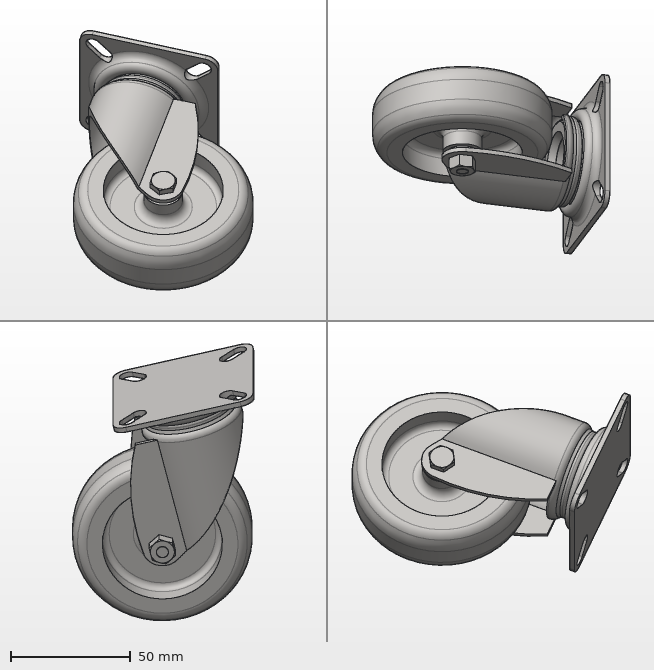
import cadquery as cq
import math


total_reach = 100.0
offset = 24.0

plate_size = 60.0
plate_thickness = 2.2
plate_corner = 5.5
slot_width = 6.5
slot_inner, slot_outer = 19.0, 24.0

dish_radius = 26.7
bulge_radius = 22.8
bulge_depth = 5.4
dish_depth = 8.2
neck_radius = 19.1
neck_band_end = 11.2
shoulder_radius = 19.6
shoulder_top, shoulder_end = 12.7, 15.6
shoulder_round = 3.3
race_radius = 17.3
race_chamfer = 0.9
race_depth = 14.7
race_mouth_radius = 12.2
race_bore_radius = 10.6
race_ledge_depth = 11.5
race_ledge = 0.4

fork_radius = 21.4
fork_wall = 1.9
arm_inner = 13.8
arm_top = 14.8
fork_inner_fillet = 2.5
leading_start = 18.4
leading_radius = 98.0
trailing_radius = 90.0
arm_end_radius = 8.5

wheel_radius = 37.5
wheel_half_width = 12.5
tread_half_width = 4.5
rim_seam_radius, rim_seam_z = 35.4, 10.5
rim_outer_round, rim_side_round = 9.6, 4.8
face_radius = 31.5
recess_radius = 25.0
recess_fillet = 2.8
web_half = 2.1
hub_radius = 8.1
hub_half_width = 12.0
hub_fillet = 4.0
boss_radius = 6.0
boss_half_width = 13.2

bolt_radius = 3.0
hex_across_flats = 10.0
head_height = 2.8
nut_height = 5.2
bolt_tip_radius = 2.5
bolt_tip_length = 0.3
hex_chamfer_angle = 30.0

wheel_y = wheel_radius - total_reach
arm_outer = arm_inner + fork_wall
fork_bore = fork_radius - fork_wall
fork_ceiling = race_depth - race_chamfer
wall_start = fork_ceiling + fork_inner_fillet
hex_half_angle = math.pi / 6
hex_across_corners = hex_across_flats / math.cos(hex_half_angle)
diagonal = math.sqrt(0.5)


def make_plate():
    return (
        cq.Workplane("XZ")
        .rect(plate_size, plate_size)
        .extrude(plate_thickness)
        .edges("|Y")
        .fillet(plate_corner)
    )


def make_slots():
    """Four diagonal through slots, as deep as the bulge of the dish."""
    length = (slot_outer - slot_inner) / diagonal + slot_width
    middle = (slot_inner + slot_outer) / 2 / diagonal
    slots = cq.Workplane("XZ")
    for angle in (45, 135, 225, 315):
        slot = cq.Workplane("XZ").center(middle, 0).slot2D(length, slot_width).extrude(bulge_depth)
        slots = slots.add(slot.rotate((0, 0, 0), (0, 1, 0), angle))
    return slots.combine()


def make_swivel_head():
    """Dish, neck and fork shoulder, with the race and its bore inside, turned about the Y axis."""
    flare = dish_radius - bulge_radius
    flare_depth = bulge_depth - plate_thickness
    bulge = dish_depth - bulge_depth
    bulge_centre = bulge_radius - bulge
    groove_radius = bulge_centre - bulge
    neck_round = neck_radius - groove_radius
    race_face_radius = race_radius - race_chamfer
    return (
        cq.Workplane("XY")
        .lineTo(dish_radius, 0)
        .lineTo(dish_radius, -plate_thickness)
        .threePointArc(
            (dish_radius - flare * diagonal, -bulge_depth + flare_depth * diagonal),
            (bulge_radius, -bulge_depth),
        )
        .threePointArc((bulge_centre, -dish_depth), (groove_radius, -bulge_depth))
        .lineTo(groove_radius, -dish_depth)
        .radiusArc((neck_radius, -dish_depth - neck_round), neck_round)
        .lineTo(neck_radius, -neck_band_end)
        .lineTo(shoulder_radius, -shoulder_top)
        .radiusArc((fork_radius, -shoulder_end), shoulder_round)
        .lineTo(fork_radius, -wall_start)
        .lineTo(fork_bore, -wall_start)
        .radiusArc((fork_bore - fork_inner_fillet, -fork_ceiling), -fork_inner_fillet)
        .lineTo(race_radius, -fork_ceiling)
        .lineTo(race_face_radius, -race_depth)
        .lineTo(race_mouth_radius, -race_depth)
        .lineTo(race_bore_radius, -race_ledge_depth)
        .lineTo(race_bore_radius - race_ledge, -race_ledge_depth)
        .lineTo(race_bore_radius - race_ledge, -plate_thickness)
        .lineTo(0, -plate_thickness)
        .close()
        .revolve(360, (0, 0), (0, 1))
    )


def tangent_edge(start, radius, side):
    """Middle and end of an arc from start that runs smoothly into the rounded arm end.

    The arc's centre lies `radius` from start and `radius - arm_end_radius` from the wheel axis.
    `side` picks one of the two centres: +1 to the left of the line from the wheel axis to start.
    """
    dx, dy = start[0] - offset, start[1] - wheel_y
    span = math.hypot(dx, dy)
    reach = radius - arm_end_radius
    along = (span**2 + reach**2 - radius**2) / (2 * span)
    across = side * math.sqrt(reach**2 - along**2)
    centre_x = offset + (along * dx - across * dy) / span
    centre_y = wheel_y + (along * dy + across * dx) / span
    start_angle = math.atan2(start[1] - centre_y, start[0] - centre_x)
    end_angle = math.atan2(wheel_y - centre_y, offset - centre_x)
    turn = math.remainder(end_angle - start_angle, 2 * math.pi)

    def point(angle):
        return (centre_x + radius * math.cos(angle), centre_y + radius * math.sin(angle))

    return point(start_angle + turn / 2), point(start_angle + turn)


def make_fork_walls():
    """Half cylinder running into two flat arms, trimmed to the curved side outline."""
    depth = total_reach - arm_top
    tube = (
        cq.Workplane("XZ", origin=(0, -shoulder_end, 0))
        .circle(fork_radius)
        .circle(fork_bore)
        .extrude(depth)
    )
    opening = (
        cq.Workplane("XZ")
        .rect(2 * fork_radius, 2 * arm_inner)
        .extrude(total_reach)
        .translate((fork_radius, 0, 0))
    )
    walls = tube.cut(opening)
    arm_start = math.sqrt(fork_radius**2 - arm_outer**2)
    arm_length = 2 * offset - arm_start
    for side in (-1, 1):
        arm = cq.Workplane("XY").box(arm_length, depth, fork_wall, centered=(False, False, True))
        walls = walls.union(arm.translate((arm_start, -total_reach, side * (arm_inner + fork_wall / 2))))

    leading = (-fork_radius, -leading_start)
    trailing = (offset, -arm_top)
    leading_middle, leading_end = tangent_edge(leading, leading_radius, -1)
    trailing_middle, trailing_end = tangent_edge(trailing, trailing_radius, 1)
    outline = (
        cq.Workplane("XY", origin=(0, 0, -plate_size / 2))
        .moveTo(-fork_radius, -arm_top)
        .lineTo(*leading)
        .threePointArc(leading_middle, leading_end)
        .threePointArc((offset, wheel_y - arm_end_radius), trailing_end)
        .threePointArc(trailing_middle, trailing)
        .close()
        .extrude(plate_size)
    )
    return walls.intersect(outline)


def make_hex(height):
    """Hexagon standing on Z = 0 with a chamfered top; two corners point along Y."""
    cone_base = hex_across_flats / 2 + height / math.tan(math.radians(hex_chamfer_angle))
    cone = (
        cq.Workplane("XZ")
        .lineTo(cone_base, 0)
        .lineTo(hex_across_flats / 2, height)
        .lineTo(0, height)
        .close()
        .revolve(360, (0, 0), (0, 1))
    )
    prism = cq.Workplane("XY").polygon(6, hex_across_corners).extrude(height)
    return prism.rotate((0, 0, 0), (0, 0, 1), 90).intersect(cone)


def make_bolt():
    """Shank, head on the +Z arm, nut and bolt tip on the -Z arm."""
    shank = cq.Workplane("XY", origin=(0, 0, -arm_outer)).circle(bolt_radius).extrude(2 * arm_outer)
    head = make_hex(head_height).translate((0, 0, arm_outer))
    nut = make_hex(nut_height).rotate((0, 0, 0), (1, 0, 0), 180).translate((0, 0, -arm_outer))
    tip = cq.Workplane("XY").circle(bolt_tip_radius).extrude(-nut_height - bolt_tip_length)
    bolt = shank.union(head).union(nut).union(tip.translate((0, 0, -arm_outer)))
    return bolt.translate((offset, wheel_y, 0))


def make_frame():
    """Plate, swivel head, fork and bolt in one body."""
    frame = make_plate().union(make_swivel_head()).cut(make_slots())
    return frame.union(make_fork_walls()).union(make_bolt())


def make_wheel():
    """Tread, web and hub turned about the wheel axis: one side face, then its mirror image."""
    web_edge = web_half + recess_fillet
    hub_edge = web_half + hub_fillet
    wheel = (
        cq.Workplane("XZ")
        .moveTo(wheel_radius, -tread_half_width)
        .lineTo(wheel_radius, tread_half_width)
        .radiusArc((rim_seam_radius, rim_seam_z), -rim_outer_round)
        .radiusArc((face_radius, wheel_half_width), -rim_side_round)
        .lineTo(recess_radius, wheel_half_width)
        .lineTo(recess_radius, web_edge)
        .radiusArc((recess_radius - recess_fillet, web_half), recess_fillet)
        .lineTo(hub_radius + hub_fillet, web_half)
        .radiusArc((hub_radius, hub_edge), hub_fillet)
        .lineTo(hub_radius, hub_half_width)
        .lineTo(boss_radius, hub_half_width)
        .lineTo(boss_radius, boss_half_width)
        .lineTo(bolt_radius, boss_half_width)
        .lineTo(bolt_radius, -boss_half_width)
        .lineTo(boss_radius, -boss_half_width)
        .lineTo(boss_radius, -hub_half_width)
        .lineTo(hub_radius, -hub_half_width)
        .lineTo(hub_radius, -hub_edge)
        .radiusArc((hub_radius + hub_fillet, -web_half), hub_fillet)
        .lineTo(recess_radius - recess_fillet, -web_half)
        .radiusArc((recess_radius, -web_edge), recess_fillet)
        .lineTo(recess_radius, -wheel_half_width)
        .lineTo(face_radius, -wheel_half_width)
        .radiusArc((rim_seam_radius, -rim_seam_z), -rim_side_round)
        .radiusArc((wheel_radius, -tread_half_width), -rim_outer_round)
        .close()
        .revolve(360, (0, 0), (0, 1))
    )
    return wheel.translate((offset, wheel_y, 0))


frame = make_frame()
wheel = make_wheel()

result = cq.Compound.makeCompound([frame.val(), wheel.val()])